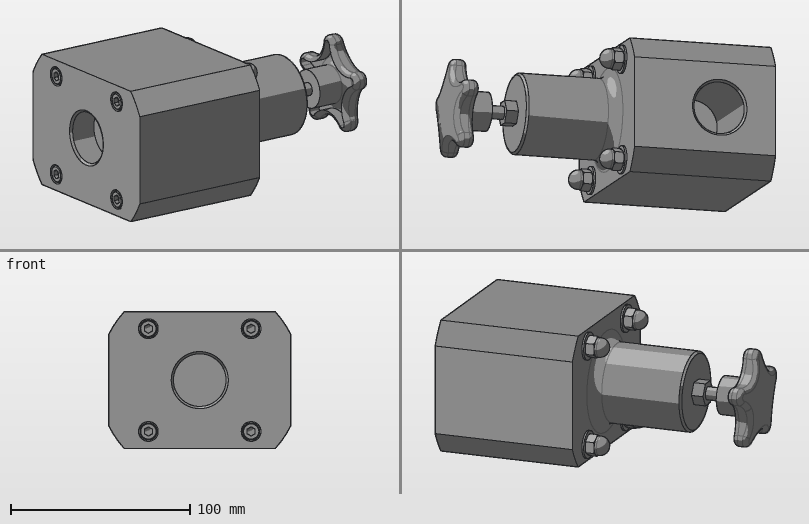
import cadquery as cq
import math


body_width = 101.5
body_height = 76.3
body_depth = 82.5
corner_diameter = 113.6

port_diameter = 29.3
port_chamfer = 1.2
front_port_depth = 15.8
side_port_depth = body_width / 2
side_port_y = 32.7

bolt_offset = 28.6
counterbore_diameter = 11.0
head_diameter = 9.6
head_height = 5.3
head_chamfer = 0.5
socket_flats = 4.5
socket_depth = 2.7
socket_cone_depth = 1.2
washer_diameter = 15.8
washer_thickness = 1.0
nut_flats = 11.0
nut_height = 5.3
nut_chamfer = 0.5
nut_collar_height = 1.2

bonnet_diameter = 45.7
bonnet_end = 136.5
bonnet_chamfer = 1.2
bonnet_root_fillet = 6.4

lock_nut_flats = 12.8
lock_nut_end = 143.5
spindle_diameter = 7.5

handle_end = 177.8
handle_base = 165.7
hub_diameter = 22.0
hub_start = 152.9
lobe_count = 5
lobe_centre_radius = 23.6
lobe_tip_radius = 5.0
valley_radius = 18.0
crown_radius = 106.7
handle_fillet = 3.0
handle_wall = 2.7
handle_cavity_depth = 6.4
hub_root_fillet = 4.0


def facing_back(y):
    """Workplane at height y on the main axis: its own axes are -X and +Z, its normal +Y."""
    return cq.Workplane(cq.Plane(origin=(0, y, 0), xDir=(-1, 0, 0), normal=(0, 1, 0)))


def rod(diameter, start, end):
    """Round bar on the main axis."""
    return facing_back(start).circle(diameter / 2).extrude(end - start)


def across_corners(flats):
    """Width of a regular hexagon across its corners."""
    return flats / math.cos(math.pi / 6)


def hexagon_bar(flats, start, end):
    """Hexagonal bar on the main axis with two corners towards +X and -X."""
    return facing_back(start).polygon(6, across_corners(flats)).extrude(end - start)


def upright_hexagon_bar(flats, start, end):
    """Hexagonal bar on the main axis with two corners towards +Z and -Z."""
    return hexagon_bar(flats, start, end).rotate((0, 0, 0), (0, 1, 0), 90)


def at_bolts(shape):
    """Copies of a shape at the four bolt axes, as one workplane."""
    copies = cq.Workplane()
    for x in (-bolt_offset, bolt_offset):
        for z in (-bolt_offset, bolt_offset):
            copies = copies.add(shape.translate((x, 0, z)))
    return copies.combine()


def make_body():
    """Block trimmed by the cylinder that rounds its long corners."""
    block = cq.Workplane().box(body_width, body_depth, body_height).translate((0, body_depth / 2, 0))
    return block.intersect(rod(corner_diameter, 0, body_depth))


def make_port(depth):
    """Port cutter on the main axis, opening at y = 0."""
    bore = rod(port_diameter, 0, depth)
    mouth = facing_back(0).circle(port_diameter / 2 + port_chamfer)
    mouth = mouth.workplane(offset=port_chamfer).circle(port_diameter / 2).loft()
    return bore.union(mouth)


def make_side_port():
    """Port cutter running from the -X face towards +X."""
    port = make_port(side_port_depth).rotate((0, 0, 0), (0, 0, 1), -90)
    return port.translate((-body_width / 2, side_port_y, 0))


def make_bolt_head():
    """Head flush with the front face; its hexagonal socket ends in a cone."""
    head = rod(head_diameter, 0, head_height).faces("<Y").chamfer(head_chamfer)
    corners = across_corners(socket_flats)
    cone = cq.Solid.makeCone(
        corners / 2, 0, socket_cone_depth, pnt=(0, socket_depth, 0), dir=(0, 1, 0)
    )
    drill = rod(corners, 0, socket_depth).union(cq.Workplane(cone))
    socket = upright_hexagon_bar(socket_flats, 0, socket_depth + socket_cone_depth)
    return head.cut(socket.intersect(drill))


def make_cap_nut():
    """Washer, hexagon with bevelled corners, collar and dome."""
    hex_start = body_depth + washer_thickness
    hex_end = hex_start + nut_height
    collar_end = hex_end + nut_collar_height
    washer = rod(washer_diameter, body_depth, hex_start)
    envelope = rod(across_corners(nut_flats), hex_start, hex_end)
    envelope = envelope.faces("<Y or >Y").chamfer(nut_chamfer)
    nut = upright_hexagon_bar(nut_flats, hex_start, hex_end).intersect(envelope)
    collar = rod(nut_flats, hex_end, collar_end)
    dome = cq.Workplane(origin=(0, collar_end, 0)).sphere(nut_flats / 2)
    return washer.union(nut).union(collar).union(dome)


def make_root(diameter, fillet):
    """Flared foot of a round bar standing on y = 0 and pointing to +Y."""
    radius = diameter / 2
    arc_reach = fillet * (1 - math.sqrt(0.5))
    return (
        cq.Workplane("XY")
        .lineTo(radius + fillet, 0)
        .threePointArc((radius + arc_reach, arc_reach), (radius, fillet))
        .lineTo(0, fillet)
        .close()
        .revolve(360, (0, 0), (0, 1))
    )


def make_bonnet():
    """Round bonnet, bevelled at the end and flared at the body."""
    bonnet = rod(bonnet_diameter, body_depth, bonnet_end).faces(">Y").chamfer(bonnet_chamfer)
    root = make_root(bonnet_diameter, bonnet_root_fillet).translate((0, body_depth, 0))
    return bonnet.union(root)


def polar(radius, angle):
    """Point at a given radius and angle."""
    return (radius * math.cos(angle), radius * math.sin(angle))


def make_star(inset, height):
    """Flat star on the handle base: round lobe tips joined by hollow arcs tangent to them.

    One lobe points to +Z, and the inset moves the whole outline inwards.
    """
    half_pitch = math.pi / lobe_count
    valley_to_tip = valley_radius - lobe_tip_radius
    hollow_centre_radius = (lobe_centre_radius**2 - valley_to_tip**2) / (
        2 * (lobe_centre_radius * math.cos(half_pitch) - valley_to_tip)
    )
    centre_distance = hollow_centre_radius - valley_to_tip
    share = (lobe_tip_radius - inset) / centre_distance
    hollow_x, hollow_y = polar(hollow_centre_radius, half_pitch)
    touch_x = lobe_centre_radius + (hollow_x - lobe_centre_radius) * share
    touch_y = hollow_y * share
    touch_radius = math.hypot(touch_x, touch_y)
    touch_angle = math.atan2(touch_y, touch_x)

    first_axis = math.pi / 2
    outline = facing_back(handle_base).moveTo(*polar(touch_radius, first_axis - touch_angle))
    for lobe in range(lobe_count):
        axis = first_axis + 2 * half_pitch * lobe
        next_axis = axis + 2 * half_pitch
        outline = outline.threePointArc(
            polar(lobe_centre_radius + lobe_tip_radius - inset, axis),
            polar(touch_radius, axis + touch_angle),
        ).threePointArc(
            polar(valley_radius - inset, axis + half_pitch),
            polar(touch_radius, next_axis - touch_angle),
        )
    return outline.close().extrude(height)


def make_crown():
    """Disc wider than the star, with a spherical top."""
    radius = lobe_centre_radius + 2 * lobe_tip_radius

    def top_at(x):
        return handle_end - crown_radius + math.sqrt(crown_radius**2 - x**2)

    return (
        cq.Workplane("XY")
        .moveTo(0, handle_base)
        .lineTo(radius, handle_base)
        .lineTo(radius, top_at(radius))
        .threePointArc((radius / 2, top_at(radius / 2)), (0, handle_end))
        .close()
        .revolve(360, (0, 0), (0, 1))
    )


def make_handle():
    """Rounded star with a hollow underside and a central hub."""
    star = make_star(0, handle_end - handle_base).intersect(make_crown())
    star = star.faces("<Y").edges().fillet(handle_fillet)
    star = star.faces(">Y").edges().fillet(handle_fillet)
    star = star.cut(make_star(handle_wall, handle_cavity_depth))
    cavity_floor = handle_base + handle_cavity_depth
    hub = rod(hub_diameter, hub_start, cavity_floor)
    hub_root = make_root(hub_diameter, hub_root_fillet).rotate((0, 0, 0), (0, 0, 1), 180)
    return star.union(hub).union(hub_root.translate((0, cavity_floor, 0)))


counterbore = rod(counterbore_diameter, 0, head_height)
lock_nut = hexagon_bar(lock_nut_flats, bonnet_end, lock_nut_end)
spindle = rod(spindle_diameter, bonnet_end, hub_start)

body = make_body().cut(make_port(front_port_depth)).cut(make_side_port()).cut(at_bolts(counterbore))
body = body.union(at_bolts(make_bolt_head())).union(at_bolts(make_cap_nut()))
result = body.union(make_bonnet()).union(lock_nut).union(spindle).union(make_handle())